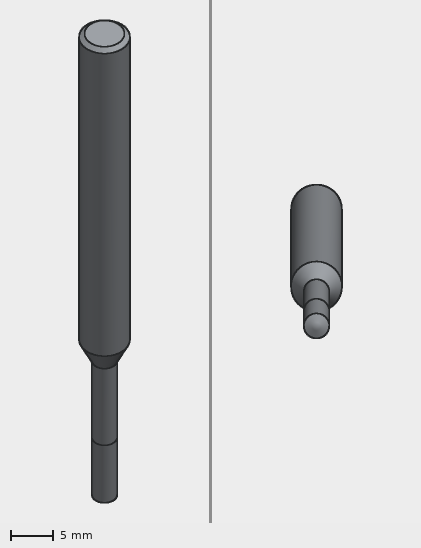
import cadquery as cq
import math

total_length = 72.55
shank_diameter = 6.0
neck_diameter = shank_diameter / 2
point_angle = 140.0
cutting_length = 9.0
neck_length = 12.0
taper_length = 3.3
chamfer_width = 0.65
chamfer_height = 0.5

shank_radius = shank_diameter / 2
neck_radius = neck_diameter / 2
point_height = neck_radius / math.tan(math.radians(point_angle / 2))
joint_z = point_height + cutting_length
taper_start_z = joint_z + neck_length
taper_end_z = taper_start_z + taper_length


def revolve_profile(points):
    """Turn a closed (radius, height) profile around the Z axis."""
    return cq.Workplane("XZ").polyline(points).close().revolve(360, (0, 0, 0), (0, 1, 0))


def make_cutting_head():
    """Cylinder ending in a conical drill point."""
    return revolve_profile([
        (0, 0),
        (neck_radius, point_height),
        (neck_radius, joint_z),
        (0, joint_z),
    ])


def make_shank():
    """Slim neck, taper and clamping shank with a chamfered end."""
    return revolve_profile([
        (0, joint_z),
        (neck_radius, joint_z),
        (neck_radius, taper_start_z),
        (shank_radius, taper_end_z),
        (shank_radius, total_length - chamfer_height),
        (shank_radius - chamfer_width, total_length),
        (0, total_length),
    ])


cutting_head = make_cutting_head()
shank = make_shank()

result = cq.Compound.makeCompound([cutting_head.val(), shank.val()])